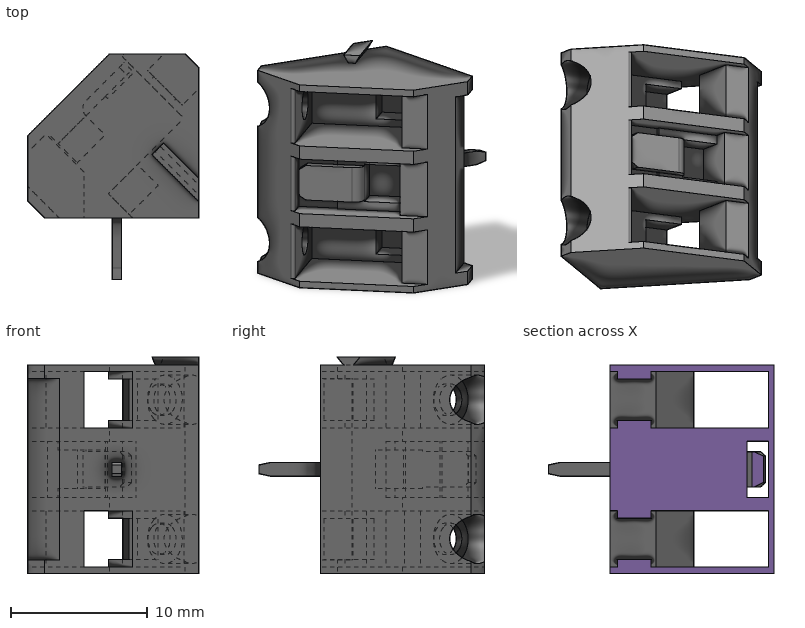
import cadquery as cq
import math

total_depth = 16.5
total_height = 15.84

width = 12.5
depth = 12.0
pole_pitch = 5.08
pole_count = 3
height = pole_pitch * pole_count
slope_leg = 6.0
screw_corner_leg = 1.0
front_corner_leg = 1.24
front_recess_leg = 2.31
end_flange = 1.0

pocket_height = 4.1
mouth_depth = 0.85
upper_wall = 8.98
lip_radius = 0.16

wire_lower_wall = 1.04
wire_depth = 7.16
window_right = 7.67
clamp_slot_length = 3.0
clamp_slot_height = 3.0
clamp_slot_depth = 2.15
screw_hole_diameter = 2.3
screw_head_diameter = 3.6
screw_wall = 0.6

contact_lower_wall = 1.17
contact_floor = 1.98
contact_step_start = 6.05
contact_step_floor = 2.21
notch_end = 4.05
notch_floor = 3.96
notch_height = 2.8
tongue_tip = 8.76
tongue_thickness = 0.78
tongue_height = 2.59
tongue_tip_length = 0.5
tongue_tip_bevel = 0.33

pin_x = 6.52
pin_thickness = 0.71
pin_height = 1.02
pin_length = total_depth - depth
pin_taper = 0.85
pin_tip_height = 0.65

key_height = total_height - height
key_width = 1.2
key_side_angle = 30
key_end_x = 9.5
key_end_y = 5.05

root2 = math.sqrt(2)


def slope_plane(z):
    """Plane whose x runs up the slope and whose y points out of it."""
    return cq.Plane(origin=(0, slope_leg, z), xDir=(1, 1, 0), normal=(0, 0, 1))


def slope_box(start, end, top, bottom, size_z, z_mid):
    """Box between two positions along the slope and two depths below it."""
    return (
        cq.Workplane(slope_plane(z_mid - size_z / 2))
        .moveTo((start + end) / 2, -(top + bottom) / 2)
        .rect(end - start, bottom - top)
        .extrude(size_z)
    )


def make_prism(size_z):
    return (
        cq.Workplane("XY")
        .polyline([
            (front_corner_leg, 0),
            (width, 0),
            (width, depth - screw_corner_leg),
            (width - screw_corner_leg, depth),
            (depth - slope_leg, depth),
            (0, slope_leg),
            (0, front_corner_leg),
        ])
        .close()
        .extrude(size_z)
    )


def make_front_recess():
    return (
        cq.Workplane("XY", origin=(0, 0, end_flange))
        .polyline([(0, 0), (front_recess_leg, 0), (0, front_recess_leg)])
        .close()
        .extrude(height - 2 * end_flange)
    )


def make_mouth(z_mid):
    """Shallow recess below the slope, open to the left and back faces, with its rounded lip."""
    recess = slope_box(-mouth_depth, upper_wall, -mouth_depth, mouth_depth, pocket_height, z_mid)
    half_lip_angle = math.radians(45 / 2)
    corner_x = upper_wall * root2 + slope_leg - depth
    tangent = lip_radius / math.tan(half_lip_angle)
    center_x = corner_x + tangent
    center_y = depth - lip_radius
    lip = (
        cq.Workplane("XY", origin=(0, 0, z_mid - pocket_height / 2))
        .moveTo(corner_x, depth)
        .lineTo(corner_x + tangent / root2, depth - tangent / root2)
        .threePointArc((center_x - lip_radius, center_y), (center_x, depth))
        .close()
        .extrude(pocket_height)
    )
    return recess.union(lip)


def make_screw_hole(z_mid):
    """Stepped hole from the upper wall out through the middle of the chamfered corner."""
    axis_depth = (width - depth + slope_leg) / root2
    plane = slope_plane(z_mid)
    wall_point = plane.toWorldCoords((upper_wall, -axis_depth, 0))
    head_point = plane.toWorldCoords((upper_wall + screw_wall, -axis_depth, 0))
    outward = cq.Vector(1, 1, 0)
    hole = cq.Solid.makeCylinder(screw_hole_diameter / 2, screw_wall, wall_point, outward)
    head = cq.Solid.makeCylinder(screw_head_diameter / 2, width, head_point, outward)
    return cq.Workplane(hole).union(cq.Workplane(head))


def make_end_pole(z_mid):
    wire_room = slope_box(wire_lower_wall, upper_wall, 0, wire_depth, pocket_height, z_mid)
    window_left = wire_depth * root2 - slope_leg
    window = (
        cq.Workplane("XY", origin=(0, 0, z_mid - pocket_height / 2))
        .polyline([
            (window_left, 0),
            (window_right, 0),
            (window_left, window_right - window_left),
        ])
        .close()
        .extrude(pocket_height)
    )
    slot_start = (window_right - slope_leg) / root2
    clamp_slot = slope_box(
        slot_start, slot_start + clamp_slot_length,
        wire_depth, wire_depth + clamp_slot_depth,
        clamp_slot_height, z_mid,
    )
    pocket = make_mouth(z_mid).union(wire_room).union(window).union(clamp_slot)
    return pocket.union(make_screw_hole(z_mid))


def make_middle_pole(z_mid):
    room = slope_box(contact_lower_wall, upper_wall, 0, contact_floor, pocket_height, z_mid)
    step = slope_box(
        contact_step_start, upper_wall, 0, contact_step_floor, pocket_height, z_mid
    )
    notch = slope_box(contact_lower_wall, notch_end, 0, notch_floor, notch_height, z_mid)
    return make_mouth(z_mid).union(room).union(step).union(notch)


def make_tongue(z_mid):
    """Flat contact tongue lying on the floor, with a rounded heel and a bevelled tip."""
    arc_mid = tongue_thickness * (1 - 1 / root2)
    tongue_top = tongue_thickness - contact_floor
    tongue = (
        cq.Workplane(slope_plane(z_mid - tongue_height / 2))
        .moveTo(notch_end, -contact_floor)
        .threePointArc(
            (notch_end + arc_mid, tongue_top - arc_mid),
            (notch_end + tongue_thickness, tongue_top),
        )
        .lineTo(tongue_tip, tongue_top)
        .lineTo(tongue_tip, -contact_floor)
        .close()
        .extrude(tongue_height)
    )
    half = tongue_height / 2
    bevel_plane = cq.Plane(
        origin=slope_plane(z_mid).toWorldCoords((tongue_tip, 0, 0)),
        xDir=(1, 1, 0),
        normal=(1, -1, 0),
    )
    for sign in (-1, 1):
        bevel = (
            cq.Workplane(bevel_plane)
            .polyline([
                (-tongue_tip_length, sign * half),
                (0, sign * half),
                (0, sign * (half - tongue_tip_bevel)),
            ])
            .close()
            .extrude(contact_floor)
        )
        tongue = tongue.cut(bevel)
    return tongue


def make_pin():
    half = pin_height / 2
    tip_half = pin_tip_height / 2
    return (
        cq.Workplane("YZ", origin=(pin_x - pin_thickness / 2, 0, height / 2))
        .polyline([
            (0, -half),
            (0, half),
            (pin_taper - pin_length, half),
            (-pin_length, tip_half),
            (-pin_length, -tip_half),
            (pin_taper - pin_length, -half),
        ])
        .close()
        .extrude(pin_thickness)
    )


def make_key():
    """Dovetail running diagonally out to the right face, where it is cut flush."""
    half_top = key_width / 2
    half_base = half_top - key_height * math.tan(math.radians(key_side_angle))
    end_plane = cq.Plane(origin=(key_end_x, key_end_y, height), xDir=(1, 1, 0), normal=(1, -1, 0))
    bar = (
        cq.Workplane(end_plane)
        .polyline([
            (-half_base, 0),
            (half_base, 0),
            (half_top, key_height),
            (-half_top, key_height),
        ])
        .close()
        .extrude(width)
    )
    return bar.intersect(make_prism(total_height))


body = make_prism(height).cut(make_front_recess())
for pole in range(pole_count):
    pole_z = pole_pitch * (pole + 0.5)
    if pole in (0, pole_count - 1):
        body = body.cut(make_end_pole(pole_z))
    else:
        body = body.cut(make_middle_pole(pole_z)).union(make_tongue(pole_z))

result = body.union(make_pin()).union(make_key())